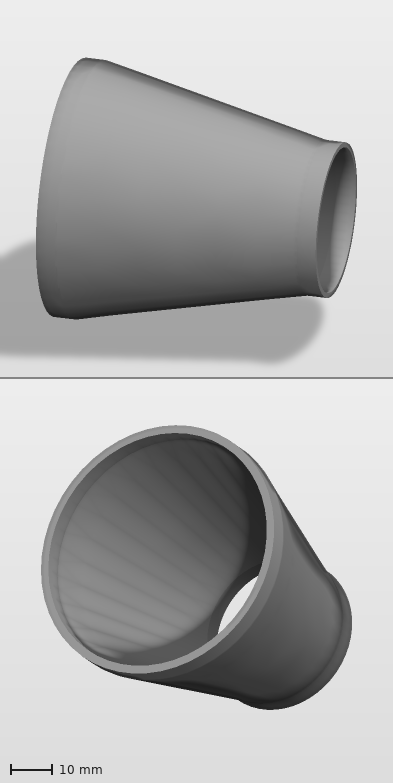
import cadquery as cq

length = 67.0
wide_outer_radius = 63.5 / 2
wide_bore_radius = 59.5 / 2
narrow_outer_radius = 38.1 / 2
narrow_bore_radius = 35.7 / 2
collar_length = 5.0
bend_radius = 2.5


def revolve_about_axis(profile):
    return profile.close().revolve(360, (0, 0, 0), (1, 0, 0))


def stepped_cone(wide_radius, narrow_radius):
    """Solid cone with a straight cylinder at each end."""
    profile = (
        cq.Workplane("XY")
        .lineTo(0, wide_radius)
        .lineTo(collar_length, wide_radius)
        .lineTo(length - collar_length, narrow_radius)
        .lineTo(length, narrow_radius)
        .lineTo(length, 0)
    )
    return revolve_about_axis(profile)


def ring_edges_at(x, radius):
    """Selector for the circular edge where a collar meets the cone."""
    margin = 0.1
    reach = radius + margin
    return cq.selectors.BoxSelector(
        (x - margin, -reach, -reach), (x + margin, reach, reach), boundingbox=True
    )


outer = stepped_cone(wide_outer_radius, narrow_outer_radius)
outer = outer.edges(ring_edges_at(collar_length, wide_outer_radius)).fillet(bend_radius)
outer = outer.edges(ring_edges_at(length - collar_length, narrow_outer_radius)).fillet(bend_radius)

bore = stepped_cone(wide_bore_radius, narrow_bore_radius)

result = outer.cut(bore)